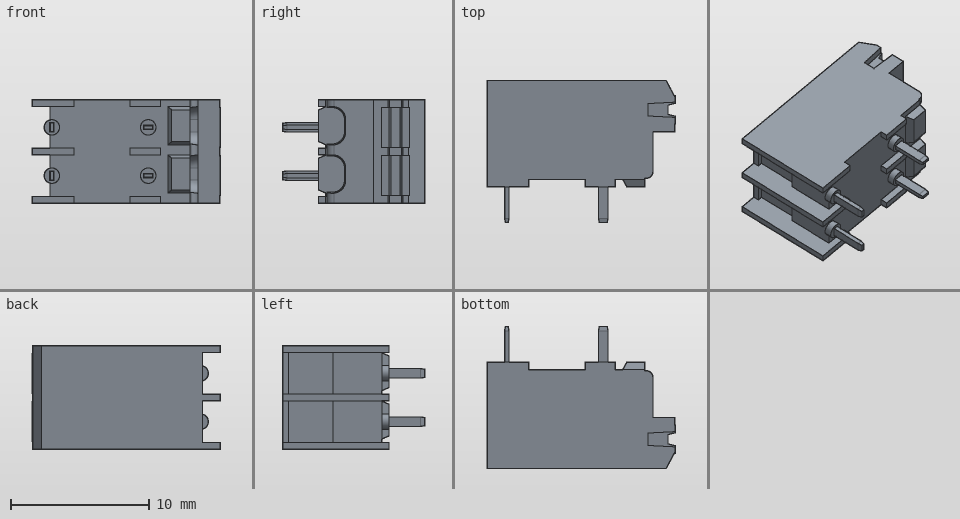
import cadquery as cq


poles = 2
pole_pitch = 3.5
plate_thickness = 0.5
height = poles * pole_pitch + plate_thickness
cell_height = pole_pitch - plate_thickness
cell_floors = [plate_thickness + pole * pole_pitch for pole in range(poles)]

depth = 7.71
length = 13.59
foot_height = 0.53
feet = [(0, 3.02), (7.1, 9.29)]
core_left = 1.28
rim_left = 11.41
rim_front = 0.61
entry_face = 12.01
rim_radius = 0.5
nose_front = 3.99
slant_foot = 6.52
slant_top = 12.97

recess_depth = 0.35
recess_front = 4.07
back_rib = 0.44

notch_axis = 5.58
notch_bottom = 11.66
notch_bottom_width = 0.9
notch_mouth_width = 1.1
button_end = 13.62
button_width = 2.04
button_gap = 0.05
slot_bottom = 13.1
slot_bottom_width = 0.65
slot_mouth_width = 0.93

block_left = 9.82
block_slope_x = 0.29
block_slope_z = 0.23
block_height = 2.76

pocket_height = 2.79
pocket_floor = 1.97
pocket_radius = 0.95
pocket_taper = 8

boss_radius = 0.56
pin_length = 2.59
pin_width = 0.71
pin_thickness = 0.33
pin_tip_length = 0.31
pin_tip_taper = 0.05
end_pin_x = 1.42
inner_pin_x = 8.4


def box(x_range, y_range, z_range):
    """Axis-aligned box between the given limits."""
    sizes = [upper - lower for lower, upper in (x_range, y_range, z_range)]
    corner = (x_range[0], y_range[0], z_range[0])
    return cq.Workplane("XY").box(*sizes, centered=False).translate(corner)


def housing_slab(left, thickness):
    """Housing outline without feet, starting at X = left and extruded upward from Z = 0."""
    return (
        cq.Workplane("XY")
        .moveTo(left, foot_height)
        .lineTo(rim_left, foot_height)
        .lineTo(rim_left, rim_front)
        .lineTo(entry_face - rim_radius, rim_front)
        .radiusArc((entry_face, rim_front + rim_radius), -rim_radius)
        .lineTo(entry_face, nose_front)
        .lineTo(length, nose_front)
        .lineTo(length, slant_foot)
        .lineTo(slant_top, depth)
        .lineTo(left, depth)
        .close()
        .extrude(thickness)
    )


def plate():
    """One plate with its two feet."""
    body = housing_slab(0, plate_thickness)
    for foot_range in feet:
        body = body.union(box(foot_range, (0, depth / 2), (0, plate_thickness)))
    return body


def notch(bottom, bottom_width, mouth, mouth_width):
    """Full-height cutter that widens from X = bottom to X = mouth."""
    return (
        cq.Workplane("XY")
        .moveTo(bottom, notch_axis - bottom_width / 2)
        .lineTo(mouth, notch_axis - mouth_width / 2)
        .lineTo(mouth, notch_axis + mouth_width / 2)
        .lineTo(bottom, notch_axis + bottom_width / 2)
        .close()
        .extrude(height)
    )


def button(floor):
    """Push button inside a cell, standing slightly proud of the nose."""
    y_range = (notch_axis - button_width / 2, notch_axis + button_width / 2)
    z_range = (floor + button_gap, floor + cell_height - button_gap)
    return box((notch_bottom, button_end), y_range, z_range)


def entry_block(floor):
    """Block sloping on its left, upper and lower sides, square on its right."""
    base_top = floor + cell_height
    base_bottom = base_top - block_height
    front_left = block_left + block_slope_x
    base = [
        (block_left, base_bottom),
        (rim_left, base_bottom),
        (rim_left, base_top),
        (block_left, base_top),
    ]
    front = [
        (front_left, base_bottom + block_slope_z),
        (rim_left, base_bottom + block_slope_z),
        (rim_left, base_top - block_slope_z),
        (front_left, base_top - block_slope_z),
    ]
    return (
        cq.Workplane("XZ", origin=(0, foot_height, 0))
        .polyline(base).close()
        .workplane(offset=foot_height)
        .polyline(front).close()
        .loft(ruled=True, combine=True)
    )


def entry_pocket(floor):
    """Cutter for the wire entry: a rounded funnel narrowing from the entry face toward -X."""
    middle = floor + cell_height - block_height / 2
    funnel_length = entry_face - rim_left
    return (
        cq.Workplane("YZ", origin=(entry_face, 0, middle))
        .sketch()
        .rect(2 * pocket_floor, pocket_height)
        .vertices()
        .fillet(pocket_radius)
        .finalize()
        .extrude(-funnel_length, taper=pocket_taper)
    )


def pin(x, z, size_x, size_z):
    """Round boss with a flat pin that tapers at its tip."""
    boss = cq.Workplane("XZ", origin=(x, foot_height, z)).circle(boss_radius).extrude(foot_height)
    shaft = cq.Workplane("XZ", origin=(x, 0, z)).rect(size_x, size_z).extrude(pin_length - pin_tip_length)
    tip = (
        shaft.faces("<Y").workplane(centerOption="CenterOfMass")
        .rect(size_x, size_z)
        .workplane(offset=pin_tip_length)
        .rect(size_x - 2 * pin_tip_taper, size_z - 2 * pin_tip_taper)
        .loft(combine=False)
    )
    return boss.union(shaft).union(tip)


result = housing_slab(core_left, height)
for floor in cell_floors:
    recess = box(
        (core_left, core_left + recess_depth),
        (recess_front, depth - back_rib),
        (floor, floor + cell_height),
    )
    result = result.cut(recess).cut(entry_pocket(floor))

for level in range(poles + 1):
    result = result.union(plate().translate((0, 0, level * pole_pitch)))
result = result.cut(notch(notch_bottom, notch_bottom_width, length, notch_mouth_width))

for floor in cell_floors:
    result = result.union(button(floor))
result = result.cut(notch(slot_bottom, slot_bottom_width, button_end, slot_mouth_width))

for floor in cell_floors:
    cell_middle = floor + cell_height / 2
    result = result.union(entry_block(floor))
    result = result.union(pin(end_pin_x, cell_middle, pin_thickness, pin_width))
    result = result.union(pin(inner_pin_x, cell_middle, pin_width, pin_thickness))